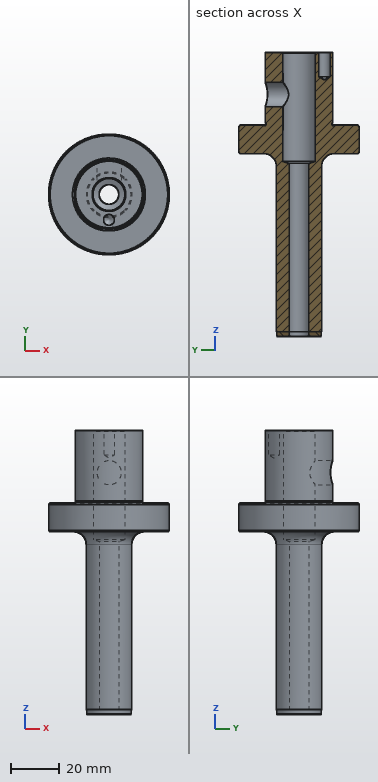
import cadquery as cq
import math

total_height = 117.5
head_height = 30.0
flange_thickness = 12.0
cap_height = 1.9
flange_top = total_height - head_height
flange_bottom = flange_top - flange_thickness

head_radius = 14.0
head_edge_chamfer = 0.25
flange_radius = 25.0
flange_chamfer = 0.7
shank_radius = 9.5
shank_fillet = 5.0

cap_radius = 9.25
cap_chamfer = 0.3
shank_end_chamfer = shank_radius - cap_radius

relief_depth = 0.25
relief_height = 1.0
relief_corner_radius = 0.65
relief_outer_radius = 15.1
relief_root_radius = head_radius - relief_depth
relief_floor = flange_top - relief_depth

bore_radius = 6.6
bore_mouth_chamfer = 0.4
bore_depth = 45.0
bore_floor_angle = 20.0
through_radius = 4.0

oil_hole_radius = 2.25
oil_hole_offset = 10.5
oil_hole_depth = 10.0
drill_tip_angle = 118.0

side_hole_radius = 5.0
side_hole_height = total_height - 17.4


def revolve_about_z(profile):
    """Turn a closed XZ half-profile into a solid of revolution about Z."""
    return profile.close().revolve(360, (0, 0), (0, 1))


def make_arbor_blank():
    """Shank, filleted flange, relief groove and head, without holes."""
    profile = (
        cq.Workplane("XZ")
        .moveTo(0, cap_height)
        .lineTo(cap_radius, cap_height)
        .lineTo(shank_radius, cap_height + shank_end_chamfer)
        .lineTo(shank_radius, flange_bottom - shank_fillet)
        .radiusArc((shank_radius + shank_fillet, flange_bottom), shank_fillet)
        .lineTo(flange_radius - flange_chamfer, flange_bottom)
        .lineTo(flange_radius, flange_bottom + flange_chamfer)
        .lineTo(flange_radius, flange_top - flange_chamfer)
        .lineTo(flange_radius - flange_chamfer, flange_top)
        .lineTo(relief_outer_radius, flange_top)
        .lineTo(relief_root_radius + relief_corner_radius, relief_floor)
        .radiusArc((relief_root_radius, relief_floor + relief_corner_radius), relief_corner_radius)
        .lineTo(head_radius, flange_top + relief_height)
        .lineTo(head_radius, total_height - head_edge_chamfer)
        .lineTo(head_radius - head_edge_chamfer, total_height)
        .lineTo(0, total_height)
    )
    return revolve_about_z(profile)


def make_bore():
    """Cutter for the central bore, running through both bodies."""
    floor_top = total_height - bore_depth
    floor_drop = (bore_radius - through_radius) * math.tan(math.radians(bore_floor_angle))
    profile = (
        cq.Workplane("XZ")
        .lineTo(through_radius, 0)
        .lineTo(through_radius, floor_top - floor_drop)
        .lineTo(bore_radius, floor_top)
        .lineTo(bore_radius, total_height - bore_mouth_chamfer)
        .lineTo(bore_radius + bore_mouth_chamfer, total_height)
        .lineTo(0, total_height)
    )
    return revolve_about_z(profile)


def make_oil_hole():
    """Cutter for the blind hole with a drill-point bottom."""
    tip_height = oil_hole_radius / math.tan(math.radians(drill_tip_angle / 2))
    hole_bottom = total_height - oil_hole_depth
    profile = (
        cq.Workplane("XZ")
        .moveTo(0, total_height)
        .lineTo(oil_hole_radius, total_height)
        .lineTo(oil_hole_radius, hole_bottom)
        .lineTo(0, hole_bottom - tip_height)
    )
    return revolve_about_z(profile).translate((0, -oil_hole_offset, 0))


def make_side_hole():
    """Cutter for the radial hole, from the bore axis toward +Y."""
    return (
        cq.Workplane("XZ")
        .center(0, side_hole_height)
        .circle(side_hole_radius)
        .extrude(-flange_radius)
    )


def make_arbor():
    """Main body with all its holes."""
    return make_arbor_blank().cut(make_bore()).cut(make_oil_hole()).cut(make_side_hole())


def make_end_cap():
    """Ring that closes the lower end of the shank."""
    cap = cq.Workplane("XY").circle(cap_radius).extrude(cap_height)
    return cap.faces("<Z").edges().chamfer(cap_chamfer).cut(make_bore())


arbor = make_arbor()
end_cap = make_end_cap()

result = cq.Compound.makeCompound([arbor.val(), end_cap.val()])